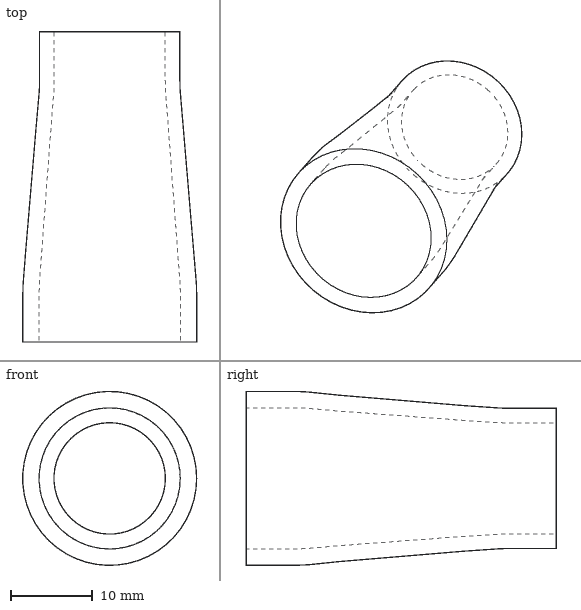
import cadquery as cq
import math

length = 38.0
wide_outer_diameter = 21.3
wide_bore_diameter = 17.3
narrow_outer_diameter = 17.2
narrow_bore_diameter = 13.6
collar_length = 6.0
blend_radius = 19.0


def reducer_solid(wide_diameter, narrow_diameter):
    """Solid of revolution about Y: collar, tangent arc, cone, tangent arc, collar."""
    wide_radius = wide_diameter / 2
    narrow_radius = narrow_diameter / 2
    taper_start = collar_length
    taper_end = length - collar_length

    axial_gap = taper_end - taper_start
    radial_gap = 2 * blend_radius - (wide_radius - narrow_radius)
    centre_distance = math.hypot(axial_gap, radial_gap)
    cone_angle = math.atan2(axial_gap, radial_gap) - math.acos(2 * blend_radius / centre_distance)

    def wide_arc_point(angle):
        drop = blend_radius * (1 - math.cos(angle))
        return (wide_radius - drop, taper_start + blend_radius * math.sin(angle))

    def narrow_arc_point(angle):
        rise = blend_radius * (1 - math.cos(angle))
        return (narrow_radius + rise, taper_end - blend_radius * math.sin(angle))

    return (
        cq.Workplane("XY")
        .lineTo(wide_radius, 0)
        .lineTo(wide_radius, taper_start)
        .threePointArc(wide_arc_point(cone_angle / 2), wide_arc_point(cone_angle))
        .lineTo(*narrow_arc_point(cone_angle))
        .threePointArc(narrow_arc_point(cone_angle / 2), (narrow_radius, taper_end))
        .lineTo(narrow_radius, length)
        .lineTo(0, length)
        .close()
        .revolve(360, (0, 0, 0), (0, 1, 0))
    )


body = reducer_solid(wide_outer_diameter, narrow_outer_diameter)
bore = reducer_solid(wide_bore_diameter, narrow_bore_diameter)
result = body.cut(bore)